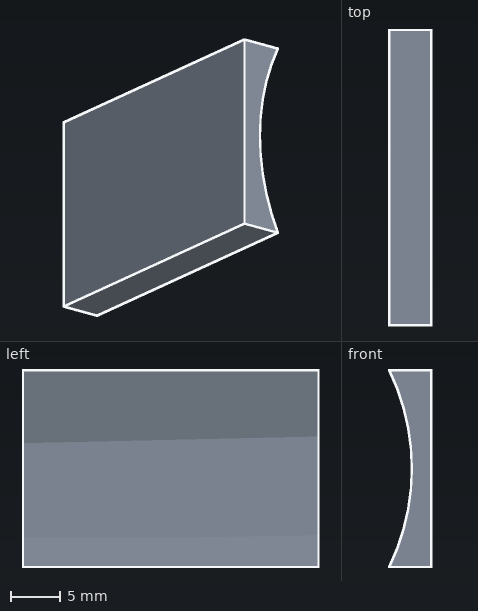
import cadquery as cq

edge_thickness = 4.3
centre_thickness = 2.0
length = 30.0
height = 20.0

back_x = edge_thickness / 2
rim_x = back_x - edge_thickness
hollow_x = back_x - centre_thickness
half_height = height / 2


def concave_plate():
    """Plate with a cylindrical hollow running along Y on its -X face."""
    return (
        cq.Workplane("XZ")
        .moveTo(rim_x, -half_height)
        .lineTo(back_x, -half_height)
        .lineTo(back_x, half_height)
        .lineTo(rim_x, half_height)
        .threePointArc((hollow_x, 0), (rim_x, -half_height))
        .close()
        .extrude(length / 2, both=True)
    )


result = concave_plate()